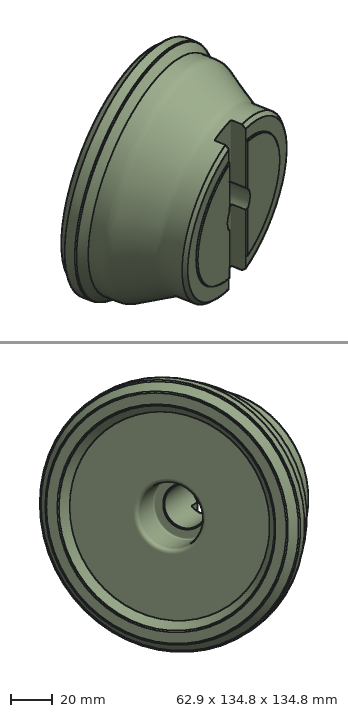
import cadquery as cq
import math


ring_radius = 67.4
ring_land_start = 4.9
ring_land_end = 10.5
ring_face_inner_radius = 56.5
ring_face_outer_radius = 62.0
ring_back_x = 15.5
corner_long = 0.8
corner_short = 0.34

hub_radius = 126.0 / 2
neck_radius = 100.0 / 2
hub_face_x = 4.3
shoulder_start = 23.0
cone_angle = math.radians(30)
shoulder_round = 8.4
neck_round = 7.3
back_x = 62.1
back_chamfer = 2.0
boss_radius = 40.0
boss_height = 0.8
boss_edge = 0.4
end_x = back_x + boss_height

hole_radius = 22.0 / 2
hole_chamfer = 0.5
pocket_radius = 33.0 / 2
pocket_floor_x = 25.0
pocket_lip_round = 2.2
pocket_floor_round = 0.8

slot_width = 16.2
slot_floor_x = 54.0
slot_corner_round = 0.7
slot_edge_chamfer = 0.8

seat_radius = ring_face_inner_radius - corner_long - (hub_face_x - corner_short)


def revolve_about_x(profile):
    """Revolve a closed (x, radius) profile about the X axis."""
    return profile.close().revolve(360, (0, 0, 0), (1, 0, 0))


def make_ring():
    """Ring with sloping flanks and small facets at the corners."""
    profile = (
        cq.Workplane("XY")
        .moveTo(hub_face_x, seat_radius)
        .lineTo(corner_short, ring_face_inner_radius - corner_long)
        .lineTo(0, ring_face_inner_radius)
        .lineTo(0, ring_face_outer_radius)
        .lineTo(corner_short, ring_face_outer_radius + corner_long)
        .lineTo(ring_land_start - corner_short, ring_radius - corner_long)
        .lineTo(ring_land_start, ring_radius)
        .lineTo(ring_land_end, ring_radius)
        .lineTo(ring_land_end + corner_long, ring_radius - corner_short)
        .lineTo(ring_back_x, hub_radius)
        .lineTo(ring_back_x, seat_radius)
    )
    return revolve_about_x(profile)


def arc_point(center_x, center_radius, size, angle):
    """Point on an arc, with the angle measured from the outward radial direction."""
    return center_x + size * math.sin(angle), center_radius + size * math.cos(angle)


def make_hub_blank():
    """Turned hub: ring seat, cylinder, cone, neck and low back boss."""
    shoulder_center = (shoulder_start, hub_radius - shoulder_round)
    shoulder_mid = arc_point(*shoulder_center, shoulder_round, cone_angle / 2)
    cone_start = arc_point(*shoulder_center, shoulder_round, cone_angle)

    neck_center_radius = neck_radius + neck_round
    cone_end_radius = neck_center_radius - neck_round * math.cos(cone_angle)
    cone_end_x = cone_start[0] + (cone_start[1] - cone_end_radius) / math.tan(cone_angle)
    neck_start = cone_end_x + neck_round * math.sin(cone_angle)
    neck_center = (neck_start, neck_center_radius)
    neck_mid = arc_point(*neck_center, -neck_round, cone_angle / 2)

    profile = (
        cq.Workplane("XY")
        .moveTo(hub_face_x, 0)
        .lineTo(hub_face_x, seat_radius)
        .lineTo(ring_back_x, seat_radius)
        .lineTo(ring_back_x, hub_radius)
        .lineTo(shoulder_start, hub_radius)
        .threePointArc(shoulder_mid, cone_start)
        .lineTo(cone_end_x, cone_end_radius)
        .threePointArc(neck_mid, (neck_start, neck_radius))
        .lineTo(back_x - back_chamfer, neck_radius)
        .lineTo(back_x, neck_radius - back_chamfer)
        .lineTo(back_x, boss_radius)
        .lineTo(end_x, boss_radius - boss_edge)
        .lineTo(end_x, 0)
    )
    return revolve_about_x(profile)


def make_bore():
    """Pocket with a rounded lip and floor corner, then a chamfered through hole."""
    diagonal = math.sqrt(0.5)
    lip_end_x = hub_face_x + pocket_lip_round
    lip_outer_radius = pocket_radius + pocket_lip_round
    lip_mid = (
        lip_end_x - pocket_lip_round * diagonal,
        lip_outer_radius - pocket_lip_round * diagonal,
    )
    floor_round_x = pocket_floor_x - pocket_floor_round
    floor_round_radius = pocket_radius - pocket_floor_round
    floor_mid = (
        floor_round_x + pocket_floor_round * diagonal,
        floor_round_radius + pocket_floor_round * diagonal,
    )
    profile = (
        cq.Workplane("XY")
        .moveTo(hub_face_x, 0)
        .lineTo(hub_face_x, lip_outer_radius)
        .threePointArc(lip_mid, (lip_end_x, pocket_radius))
        .lineTo(floor_round_x, pocket_radius)
        .threePointArc(floor_mid, (pocket_floor_x, floor_round_radius))
        .lineTo(pocket_floor_x, hole_radius + hole_chamfer)
        .lineTo(pocket_floor_x + hole_chamfer, hole_radius)
        .lineTo(end_x, hole_radius)
        .lineTo(end_x, 0)
    )
    return revolve_about_x(profile)


def make_drive_slot():
    """Slot across the back along Z, with rounded floor corners and a flared mouth."""
    half_width = slot_width / 2
    slot_depth = end_x - slot_floor_x
    channel = (
        cq.Workplane("XY")
        .box(slot_depth, slot_width, 2 * hub_radius)
        .translate((slot_floor_x + slot_depth / 2, 0, 0))
        .edges("<X and |Z")
        .fillet(slot_corner_round)
    )
    mouth_start = end_x - slot_edge_chamfer
    mouth_half_width = half_width + slot_edge_chamfer
    mouth = (
        cq.Workplane("XY")
        .polyline([
            (mouth_start, -half_width),
            (end_x, -mouth_half_width),
            (end_x, mouth_half_width),
            (mouth_start, half_width),
        ])
        .close()
        .extrude(hub_radius, both=True)
    )
    return channel.union(mouth)


ring = make_ring()
hub = make_hub_blank().cut(make_bore()).cut(make_drive_slot())

result = cq.Compound.makeCompound([ring.val(), hub.val()])